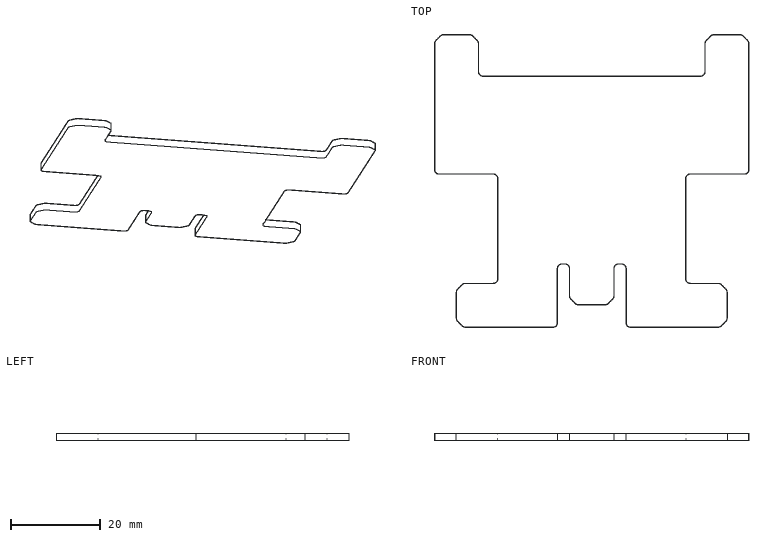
import cadquery as cq

width = 70.05
depth = 65.2
thickness = 1.6

limb_width = 9.8
tab_length = 9.25
wing_edge_y = 34.1

waist_width = 41.9
foot_span = 60.4

tongue_width = 9.95
tongue_recess = 5.0
slot_width = 2.65
slot_end_y = 14.1

chamfer = 1.6
corner_radius = 1.0

wing_x = width / 2
tab_inner_x = wing_x - limb_width
waist_x = waist_width / 2
foot_x = foot_span / 2
tongue_x = tongue_width / 2
slot_outer_x = tongue_x + slot_width
notch_y = depth - tab_length


def cut_corner(x, y, x_direction, y_direction, start_along_x):
    """Two points of a 45 degree corner cut; the directions point from the corner into the edges."""
    on_x_edge = (x + x_direction * chamfer, y)
    on_y_edge = (x, y + y_direction * chamfer)
    if start_along_x:
        return [on_x_edge, on_y_edge]
    return [on_y_edge, on_x_edge]


def right_half_outline():
    """Outline points of the +X half, from the tongue tip round to the back notch."""
    return [
        *cut_corner(tongue_x, tongue_recess, -1, 1, True),
        (tongue_x, slot_end_y),
        (slot_outer_x, slot_end_y),
        (slot_outer_x, 0),
        *cut_corner(foot_x, 0, -1, 1, True),
        *cut_corner(foot_x, limb_width, -1, -1, False),
        (waist_x, limb_width),
        (waist_x, wing_edge_y),
        (wing_x, wing_edge_y),
        *cut_corner(wing_x, depth, -1, -1, False),
        *cut_corner(tab_inner_x, depth, 1, -1, True),
        (tab_inner_x, notch_y),
    ]


right_points = right_half_outline()
left_points = [(-x, y) for x, y in reversed(right_points)]
plate = cq.Workplane("XY").polyline(right_points + left_points).close().extrude(thickness)

result = plate.edges("|Z").fillet(corner_radius)